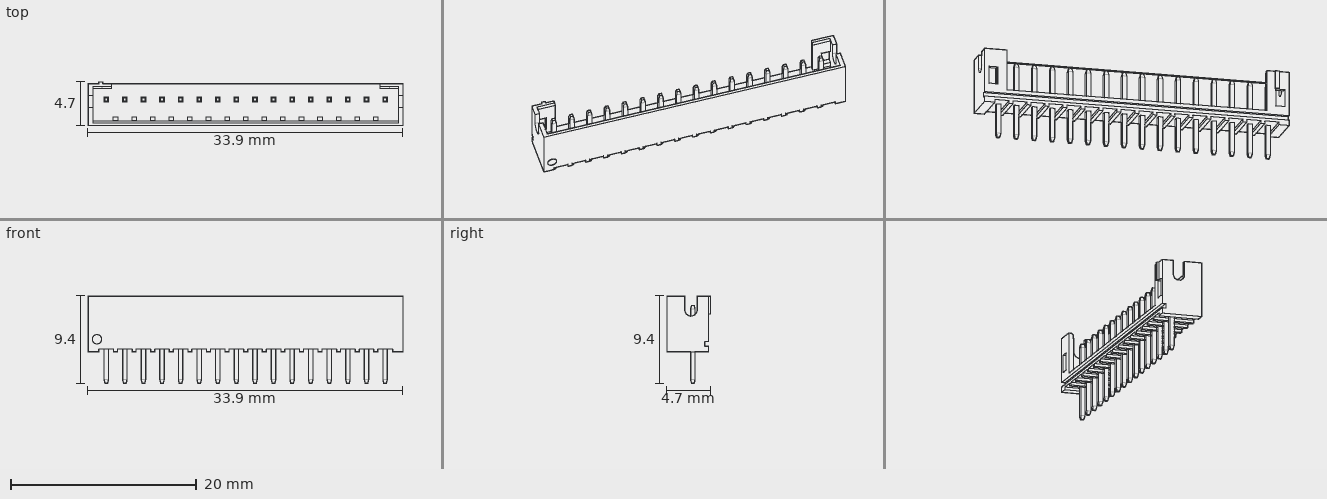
import cadquery as cq

pin_count = 16
pitch = 2.0
end_margin = 1.95
body_depth = 4.5
body_height = 6.0
tail_length = 3.4

end_wall = 0.5
side_wall = 0.5
rim_chamfer = 0.2
floor_top = 1.5
corner_wall_length = 2.0
window_width = 1.0
window_bottom = 2.1
window_top = 4.0

slot_width = 1.3
slot_depth = 2.15
slot_offset_from_rear = 1.9
groove_bottom = 0.6
groove_height = 0.5
groove_depth = 0.4

foot_height = 0.3
foot_width = 0.45
end_foot_length = 1.15

wedge_width = 0.5
wedge_depth = 0.4
wedge_crest = 0.05
wedge_height = 0.82

rib_width = 0.45
rib_height = 1.95
rib_projection = 0.2
rib_start = 1.13
mark_diameter = 1.0
mark_from_end = 0.95
mark_height = 1.35
mark_depth = 0.05

pin_width = 0.5
pin_tip_width = 0.3
pin_tip_length = 0.4
pin_top = 5.0
pin_offset_from_rear = 1.7

body_length = (pin_count - 1) * pitch + 2 * end_margin
half_length = body_length / 2
inner_half = half_length - end_wall
slot_y = body_depth - slot_offset_from_rear
pin_y = body_depth - pin_offset_from_rear
pin_xs = [(i - (pin_count - 1) / 2) * pitch for i in range(pin_count)]
gap_xs = [x + pitch / 2 for x in pin_xs[:-1]]


def block(x0, x1, y0, y1, z0, z1):
    """Axis-aligned box between two opposite corners."""
    return cq.Workplane("XY").box(x1 - x0, y1 - y0, z1 - z0, centered=False).translate((x0, y0, z0))


def mirrored_pair(shape):
    """A shape at one end together with its mirror image at the other end."""
    return shape.union(shape.mirror("YZ"))


def cavity():
    """Mating cavity, flared by a chamfer along the front and rear rims."""
    rim_z = body_height - rim_chamfer
    rear = body_depth - side_wall
    profile = [
        (side_wall, floor_top),
        (rear, floor_top),
        (rear, rim_z),
        (rear + rim_chamfer, body_height),
        (side_wall - rim_chamfer, body_height),
        (side_wall, rim_z),
    ]
    return cq.Workplane("YZ").polyline(profile).close().extrude(inner_half, both=True)


def rear_openings():
    """Wide gap in the rear wall and a window beside each end wall."""
    gap_half = inner_half - corner_wall_length
    rear = body_depth - side_wall
    gap = block(-gap_half, gap_half, rear, body_depth, floor_top, body_height)
    window = block(-inner_half, -inner_half + window_width, rear, body_depth, window_bottom, window_top)
    return gap.union(mirrored_pair(window))


def end_slots():
    """Round-bottomed slots open at the top of both end walls."""
    radius = slot_width / 2
    arc_z = body_height - slot_depth + radius
    return (
        cq.Workplane("YZ")
        .moveTo(slot_y - radius, body_height)
        .lineTo(slot_y - radius, arc_z)
        .threePointArc((slot_y, arc_z - radius), (slot_y + radius, arc_z))
        .lineTo(slot_y + radius, body_height)
        .close()
        .extrude(half_length, both=True)
    )


def rear_groove():
    """Groove along the full length of the rear face."""
    return block(
        -half_length, half_length,
        body_depth - groove_depth, body_depth,
        groove_bottom, groove_bottom + groove_height,
    )


def foot_gaps():
    """Clearances under the floor that leave the end feet and one foot between each two pins."""
    edges = [-half_length + end_foot_length]
    for x in gap_xs:
        edges += [x - foot_width / 2, x + foot_width / 2]
    edges.append(half_length - end_foot_length)
    gaps = cq.Workplane("XY")
    for start, end in zip(edges[::2], edges[1::2]):
        gaps = gaps.add(block(start, end, 0, body_depth, 0, foot_height))
    return gaps.combine()


def pin_one_mark():
    """Shallow round recess in the front face near the first pin."""
    return (
        cq.Workplane("XZ")
        .center(-half_length + mark_from_end, mark_height)
        .circle(mark_diameter / 2)
        .extrude(-mark_depth)
    )


def floor_wedge(x):
    """Steep ramp on the floor against the front wall."""
    crest_z = floor_top + wedge_height
    profile = [
        (side_wall, floor_top),
        (side_wall + wedge_depth, floor_top),
        (side_wall + wedge_crest, crest_z),
        (side_wall, crest_z),
    ]
    wedge = cq.Workplane("YZ").polyline(profile).close().extrude(wedge_width / 2, both=True)
    return wedge.translate((x, 0, 0))


def pin_tip(height):
    """Tapered square tip rising from Z = 0."""
    return (
        cq.Workplane("XY")
        .rect(pin_width, pin_width)
        .workplane(offset=height)
        .rect(pin_tip_width, pin_tip_width)
        .loft(ruled=True)
    )


def pin(x):
    """Square pin with a tapered tip at both ends."""
    shank_bottom = pin_tip_length - tail_length
    shank_top = pin_top - pin_tip_length
    half = pin_width / 2
    shank = block(-half, half, -half, half, shank_bottom, shank_top)
    tip = pin_tip(pin_tip_length)
    upper = tip.translate((0, 0, shank_top))
    lower = tip.mirror("XY").translate((0, 0, shank_bottom))
    return shank.union(upper).union(lower).translate((x, pin_y, 0))


def polarity_rib():
    """Rib on the rear face at the first pin, flush with the top."""
    start = -half_length + rib_start
    return block(
        start, start + rib_width,
        body_depth, body_depth + rib_projection,
        body_height - rib_height, body_height,
    )


body = block(-half_length, half_length, 0, body_depth, 0, body_height)
for cutter in (cavity(), rear_openings(), end_slots(), rear_groove(), foot_gaps(), pin_one_mark()):
    body = body.cut(cutter)

body = body.union(polarity_rib())
for x in gap_xs:
    body = body.union(floor_wedge(x))
for x in pin_xs:
    body = body.union(pin(x))

result = body